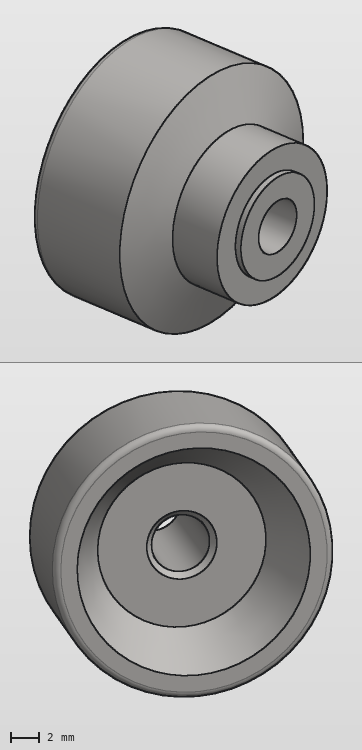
import cadquery as cq
import math

rim_end = 8.0
shoulder_end = 9.45
hub_end = 13.5
total_length = 14.0

rim_diameter = 20.0
hub_diameter = 12.0
boss_diameter = 8.0
rim_fillet = 0.5

recess_depth = 4.0
recess_floor_diameter = hub_diameter
recess_wall_angle = 30.0

bore_diameter = 4.15
bore_chamfer_diameter = 5.0


def make_body():
    """Revolve the stepped outer profile about the X axis."""
    rim_radius = rim_diameter / 2
    hub_radius = hub_diameter / 2
    boss_radius = boss_diameter / 2
    fillet_offset = rim_fillet * (1 - math.sqrt(0.5))
    profile = (
        cq.Workplane("XY")
        .lineTo(0, rim_radius - rim_fillet)
        .threePointArc((fillet_offset, rim_radius - fillet_offset), (rim_fillet, rim_radius))
        .lineTo(rim_end, rim_radius)
        .lineTo(shoulder_end, hub_radius)
        .lineTo(hub_end, hub_radius)
        .lineTo(hub_end, boss_radius)
        .lineTo(total_length, boss_radius)
        .lineTo(total_length, 0)
        .close()
    )
    return profile.revolve(360, (0, 0), (1, 0))


def make_cavity():
    """Revolve the recess, bore chamfer and through bore as one cutter."""
    floor_radius = recess_floor_diameter / 2
    mouth_radius = floor_radius + recess_depth * math.tan(math.radians(recess_wall_angle))
    bore_radius = bore_diameter / 2
    chamfer_radius = bore_chamfer_diameter / 2
    chamfer_depth = chamfer_radius - bore_radius
    profile = (
        cq.Workplane("XY")
        .lineTo(0, mouth_radius)
        .lineTo(recess_depth, floor_radius)
        .lineTo(recess_depth, chamfer_radius)
        .lineTo(recess_depth + chamfer_depth, bore_radius)
        .lineTo(total_length, bore_radius)
        .lineTo(total_length, 0)
        .close()
    )
    return profile.revolve(360, (0, 0), (1, 0))


result = make_body().cut(make_cavity()).translate((-total_length / 2, 0, 0))